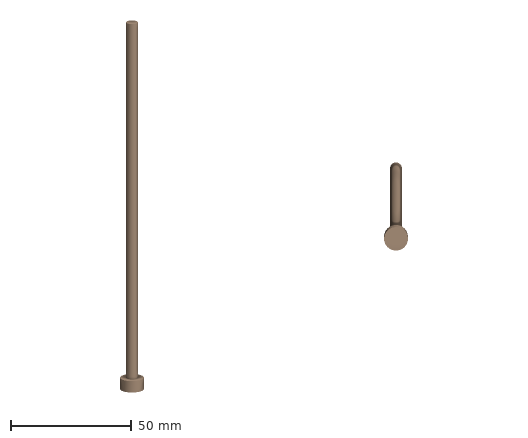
import cadquery as cq

total_length = 160.0
head_diameter = 10.0
head_height = 5.0
shaft_diameter = 5.0

head = cq.Workplane("XY").circle(head_diameter / 2).extrude(head_height)
shaft = cq.Workplane("XY").circle(shaft_diameter / 2).extrude(total_length)

result = head.union(shaft)